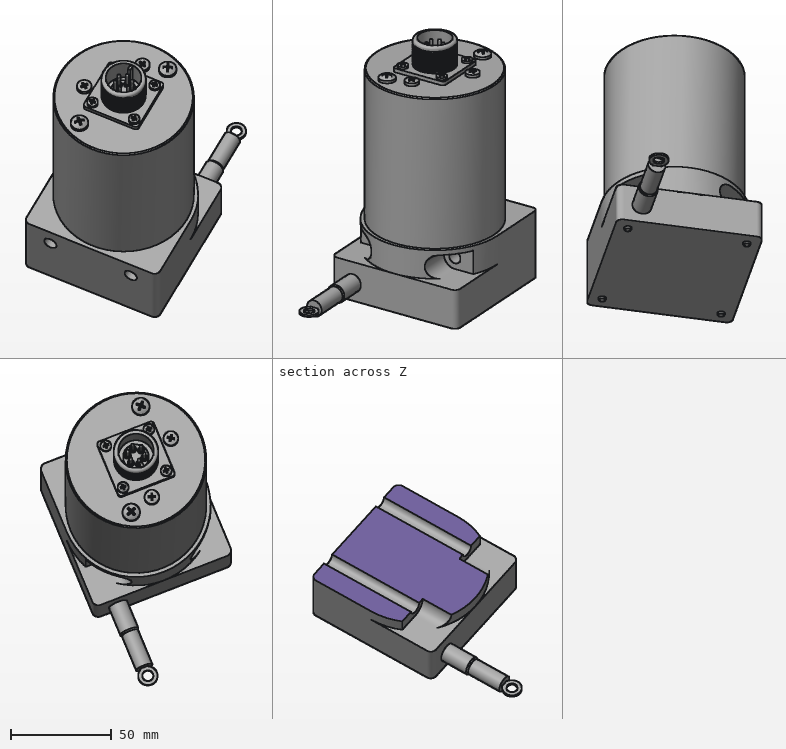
import cadquery as cq
import math

base_size = 73.91
base_height = 36.95
base_corner_radius = 3.2
base_half = base_size / 2

shelf_depth = 15.6
shelf_z = base_height - shelf_depth

mount_hole_diameter = 6.76
mount_hole_x = 22.2
slot_radius = 6.45
slot_front_y = 16.1
mount_hole_z = shelf_z + slot_radius

foot_spacing = 60.3
foot_height = 0.95
foot_base_diameter = 4.0
foot_end_diameter = 2.95

housing_diameter = 69.85
housing_height = 82.55
housing_chamfer = 0.7
housing_top_z = base_height + housing_height

flange_size = 30.2
flange_thickness = 2.15
flange_corner_radius = 1.6
connector_height = 16.51
connector_diameter = 22.23
connector_lip_radius = 1.4
connector_bore_diameter = 17.6
connector_bore_depth = 12.0
connector_top_z = housing_top_z + connector_height
flange_top_z = housing_top_z + flange_thickness

thread_pitch = 1.27
thread_depth = 0.85
thread_root = 0.1
groove_overshoot = 0.2
groove_gap = 0.1
thread_bottom_gap = 0.9
thread_top_gap = 2.2
root_radius = connector_diameter / 2 - thread_depth

insert_diameter = 12.8
insert_height = 1.0
pin_count = 6
pin_circle_radius = 4.15
pin_diameter = 1.57
pin_tip_radius = 0.7
pin_top_gap = 2.5
collar_diameters = (3.3, 2.64)
collar_step = 0.4
key_width = 1.5
key_inner_radius = 6.2
key_top_gap = 0.8

flange_screw = (5.44, 1.15, 1.85, 2.67, 0.7, 0.7)
small_screw = (7.3, 1.6, 2.25, 3.4, 0.7, 0.7)
large_screw = (8.74, 1.4, 3.1, 4.6, 0.8, 1.2)
flange_screw_spacing = 23.0
housing_screws = (
    (small_screw, 0.0, 21.0, -20.0),
    (small_screw, -20.0, -3.5, 55.0),
    (large_screw, 12.35, 24.35, 22.0),
    (large_screw, -12.35, -24.35, 45.0),
)

cable_x = 24.5
cable_z = 9.8
sleeve_diameter = 9.75
sleeve_length = 15.05
shoulder_length = 0.9
ferrule_diameter = 8.74
ferrule_length = 34.95
ring_diameter = 9.7
ring_hole_diameter = 5.44
ring_thickness = 1.1
ring_neck_width = 4.37
overall_length = 118.36
ring_center_y = overall_length - base_half - ring_diameter / 2


def make_base():
    """Square block with rear corners lowered around a round boss."""
    block = (
        cq.Workplane("XY")
        .rect(base_size, base_size)
        .extrude(base_height)
        .edges("|Z")
        .fillet(base_corner_radius)
    )
    rear_half = (
        cq.Workplane("XY", origin=(0, base_half, shelf_z))
        .rect(2 * base_size, base_size)
        .extrude(shelf_depth)
    )
    round_boss = cq.Workplane("XY", origin=(0, 0, shelf_z)).circle(base_half).extrude(shelf_depth)
    block = block.cut(rear_half.cut(round_boss))
    for side in (-1, 1):
        block = block.cut(make_mount_hole(side))
    return block


def make_mount_hole(side):
    """Through hole along Y with a round-bottomed slot open to the given side."""
    hole = (
        cq.Workplane("XZ", origin=(side * mount_hole_x, base_size, mount_hole_z))
        .circle(mount_hole_diameter / 2)
        .extrude(2 * base_size)
    )
    slot_length = base_half - slot_front_y
    round_bottom = (
        cq.Workplane("XZ", origin=(side * mount_hole_x, base_half, mount_hole_z))
        .circle(slot_radius)
        .extrude(slot_length)
    )
    open_side = (
        cq.Workplane("XZ", origin=(side * (mount_hole_x + base_half / 2), base_half, mount_hole_z))
        .rect(base_half, 2 * slot_radius)
        .extrude(slot_length)
    )
    return hole.union(round_bottom).union(open_side)


def make_feet():
    """Four tapered screw ends under the base."""
    side_inset = (foot_base_diameter - foot_end_diameter) / 2
    taper_angle = math.degrees(math.atan(side_inset / foot_height))
    return (
        cq.Workplane("XY")
        .rect(foot_spacing, foot_spacing, forConstruction=True)
        .vertices()
        .circle(foot_base_diameter / 2)
        .extrude(-foot_height, taper=taper_angle)
    )


def make_housing():
    return (
        cq.Workplane("XY", origin=(0, 0, base_height))
        .circle(housing_diameter / 2)
        .extrude(housing_height)
        .faces(">Z")
        .edges()
        .chamfer(housing_chamfer)
    )


def make_thread_groove():
    """Helical groove that leaves the thread standing on the shell."""
    start_z = flange_top_z + thread_bottom_gap
    groove_length = connector_top_z - thread_top_gap - start_z
    helix_start = cq.Location(cq.Vector(0, 0, start_z))
    helix = cq.Wire.makeHelix(thread_pitch, groove_length, root_radius).moved(helix_start)
    half_root = thread_root / 2
    half_mouth = (thread_pitch - groove_gap) / 2
    mouth_radius = root_radius + thread_depth + groove_overshoot
    profile = (
        cq.Workplane("XZ", origin=(0, 0, start_z))
        .moveTo(root_radius, -half_root)
        .lineTo(mouth_radius, -half_mouth)
        .lineTo(mouth_radius, half_mouth)
        .lineTo(root_radius, half_root)
        .close()
    )
    return profile.sweep(cq.Workplane(obj=helix), isFrenet=True)


def make_connector_shell():
    """Flange and threaded, hollow shell with its inner key."""
    flange = (
        cq.Workplane("XY", origin=(0, 0, housing_top_z))
        .rect(flange_size, flange_size)
        .extrude(flange_thickness)
        .edges("|Z")
        .fillet(flange_corner_radius)
    )
    shell = (
        cq.Workplane("XY", origin=(0, 0, housing_top_z))
        .circle(connector_diameter / 2)
        .extrude(connector_height)
        .faces(">Z")
        .edges()
        .fillet(connector_lip_radius)
        .cut(make_thread_groove())
    )
    bore = (
        cq.Workplane("XY", origin=(0, 0, connector_top_z))
        .circle(connector_bore_diameter / 2)
        .extrude(-connector_bore_depth)
    )
    wall_radius = (connector_bore_diameter / 2 + root_radius) / 2
    key = (
        cq.Workplane("XY", origin=(0, (key_inner_radius + wall_radius) / 2, connector_top_z - key_top_gap))
        .rect(key_width, wall_radius - key_inner_radius)
        .extrude(key_top_gap - connector_bore_depth)
    )
    return flange.union(shell).cut(bore).union(key)


def make_contacts():
    """Insert disc with a ring of round-ended pins in stepped collars."""
    floor_z = connector_top_z - connector_bore_depth
    insert = cq.Workplane("XY", origin=(0, 0, floor_z)).circle(insert_diameter / 2).extrude(insert_height)
    insert_top_z = floor_z + insert_height
    pin_length = connector_bore_depth - insert_height - pin_top_gap

    def pin_layer(diameter, height):
        return (
            cq.Workplane("XY", origin=(0, 0, insert_top_z))
            .polarArray(pin_circle_radius, 90, 360, pin_count)
            .circle(diameter / 2)
            .extrude(height)
        )

    pins = pin_layer(pin_diameter, pin_length).faces(">Z").edges().fillet(pin_tip_radius)
    contacts = insert.union(pins)
    for step, diameter in enumerate(collar_diameters, start=1):
        contacts = contacts.union(pin_layer(diameter, step * collar_step))
    return contacts


def make_screw(head, x, y, z, turn):
    """Pan head with a domed top and a cross recess."""
    diameter, side_height, full_height, recess_length, recess_width, recess_depth = head
    radius = diameter / 2
    rise = full_height - side_height
    dome_radius = (radius ** 2 + rise ** 2) / (2 * rise)
    mid_x = radius / 2
    mid_z = full_height - dome_radius + math.sqrt(dome_radius ** 2 - mid_x ** 2)
    body = (
        cq.Workplane("XZ")
        .lineTo(radius, 0)
        .lineTo(radius, side_height)
        .threePointArc((mid_x, mid_z), (0, full_height))
        .close()
        .revolve(360, (0, 0), (0, 1))
    )
    cross = (
        cq.Workplane("XY", origin=(0, 0, full_height))
        .rect(recess_length, recess_width)
        .extrude(-recess_depth)
    )
    cross = cross.union(cross.rotate((0, 0, 0), (0, 0, 1), 90))
    return body.cut(cross).rotate((0, 0, 0), (0, 0, 1), turn).translate((x, y, z))


def make_cable_fitting():
    """Sleeve, ferrule and ring terminal reaching out of the rear face."""
    sleeve_radius = sleeve_diameter / 2
    ferrule_radius = ferrule_diameter / 2
    barrel = (
        cq.Workplane("XY")
        .lineTo(sleeve_radius, 0)
        .lineTo(sleeve_radius, sleeve_length)
        .lineTo(ferrule_radius, sleeve_length + shoulder_length)
        .lineTo(ferrule_radius, ferrule_length)
        .lineTo(0, ferrule_length)
        .close()
        .revolve(360, (0, 0), (0, 1))
        .translate((cable_x, base_half, cable_z))
    )
    ring_bottom_z = cable_z - ring_thickness / 2
    ferrule_end_y = base_half + ferrule_length
    ring_plane = cq.Workplane("XY", origin=(cable_x, ring_center_y, ring_bottom_z))
    ring = ring_plane.circle(ring_diameter / 2).extrude(ring_thickness)
    neck = (
        cq.Workplane("XY", origin=(cable_x, (ring_center_y + ferrule_end_y) / 2, ring_bottom_z))
        .rect(ring_neck_width, ring_center_y - ferrule_end_y)
        .extrude(ring_thickness)
    )
    ring_hole = ring_plane.circle(ring_hole_diameter / 2).extrude(ring_thickness)
    terminal = ring.union(neck).cut(ring_hole)
    return barrel.union(terminal)


result = make_base().union(make_feet()).union(make_housing())
result = result.union(make_connector_shell()).union(make_contacts()).union(make_cable_fitting())
for screw_x in (-flange_screw_spacing / 2, flange_screw_spacing / 2):
    for screw_y in (-flange_screw_spacing / 2, flange_screw_spacing / 2):
        result = result.union(make_screw(flange_screw, screw_x, screw_y, flange_top_z, 0))
for screw_head, screw_x, screw_y, screw_turn in housing_screws:
    result = result.union(make_screw(screw_head, screw_x, screw_y, housing_top_z, screw_turn))